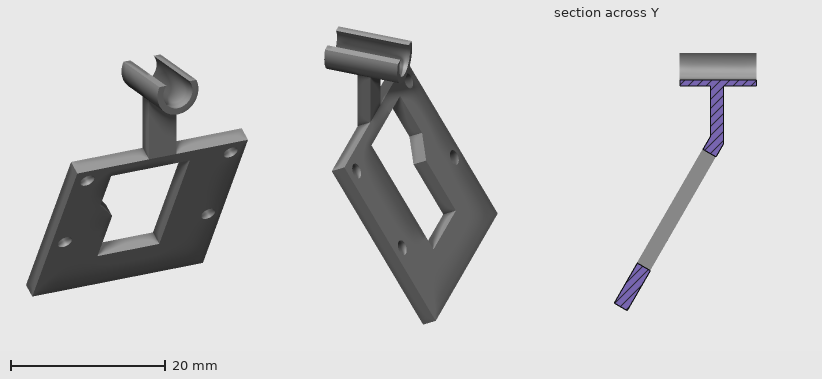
import cadquery as cq
import math

plate_side = 25.0
plate_thickness = 2.0
tilt = math.radians(30)

hole_diameter = 2.0
hole_inset = 2.0
hole_row_spacing = 12.5

window_positive_y = 4.5
window_negative_y = 7.0
window_step = 2.47
window_top = 2.0
window_bottom = 18.97
slant_start = 8.0
slant_end = 10.82

stem_width = 4.0
stem_thickness = plate_thickness * math.cos(tilt)
clip_length = 10.0
clip_overhang = 4.0
clip_outer_radius = 3.0
clip_bore_radius = 2.15
total_height = 33.4
clip_lip_height = 1.3

plate_rise = plate_side * math.cos(tilt)
bend_drop = plate_thickness * math.sin(tilt)
lip_z = total_height - plate_rise - bend_drop
clip_axis_z = lip_z - clip_lip_height

plate_face = cq.Plane(
    origin=(0, 0, 0),
    xDir=(0, -1, 0),
    normal=(-math.cos(tilt), 0, math.sin(tilt)),
)


def make_plate():
    plate = (
        cq.Workplane(plate_face)
        .center(0, -plate_side / 2)
        .rect(plate_side, plate_side)
        .extrude(-plate_thickness)
    )
    hole_x = plate_side / 2 - hole_inset
    upper_row = -hole_inset
    lower_row = upper_row - hole_row_spacing
    hole_centers = [(x, y) for x in (-hole_x, hole_x) for y in (upper_row, lower_row)]
    holes = (
        cq.Workplane(plate_face)
        .pushPoints(hole_centers)
        .circle(hole_diameter / 2)
        .extrude(-plate_thickness)
    )
    narrow_edge = window_negative_y - window_step
    window = (
        cq.Workplane(plate_face)
        .moveTo(-window_positive_y, -window_top)
        .lineTo(window_negative_y, -window_top)
        .lineTo(window_negative_y, -slant_start)
        .lineTo(narrow_edge, -slant_end)
        .lineTo(narrow_edge, -window_bottom)
        .lineTo(-window_positive_y, -window_bottom)
        .close()
        .extrude(-plate_thickness)
    )
    return plate.cut(holes).cut(window)


def make_stem():
    return (
        cq.Workplane("XZ")
        .polyline([
            (0, 0),
            (stem_thickness, -bend_drop),
            (stem_thickness, clip_axis_z),
            (0, clip_axis_z),
        ])
        .close()
        .extrude(stem_width / 2, both=True)
    )


def clip_rod(radius):
    return (
        cq.Workplane("YZ", origin=(-clip_overhang, 0, clip_axis_z))
        .circle(radius)
        .extrude(clip_length)
    )


def space_above_lips():
    size = 2 * clip_outer_radius
    return (
        cq.Workplane("XY", origin=(-clip_overhang, 0, lip_z))
        .rect(2 * clip_length, size)
        .extrude(size)
    )


result = (
    make_stem()
    .union(clip_rod(clip_outer_radius))
    .cut(clip_rod(clip_bore_radius))
    .cut(space_above_lips())
    .union(make_plate())
)